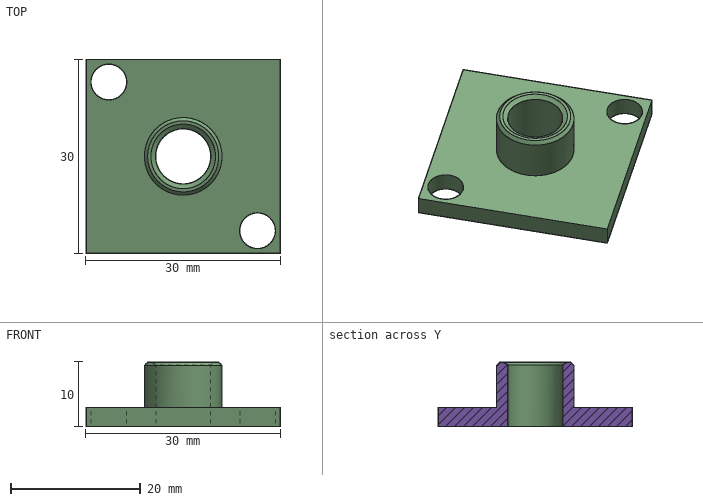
import cadquery as cq

plate_side = 30.0
plate_thickness = 3.0

total_height = 10.0
boss_diameter = 12.0
bore_diameter = 8.5

rim_chamfer = 0.5
bore_bevel_width = 0.75
bore_bevel_depth = 0.42

mount_hole_diameter = 5.5
mount_hole_offset = 11.5


def make_plate():
    """Square plate resting on Z = 0, centred on the Z axis."""
    return cq.Workplane("XY").box(
        plate_side, plate_side, plate_thickness, centered=(True, True, False)
    )


def make_boss():
    """Bored boss, beveled inside and outside at its rim, revolved about Z."""
    boss_radius = boss_diameter / 2
    bore_radius = bore_diameter / 2
    wall_section = [
        (bore_radius, 0),
        (boss_radius, 0),
        (boss_radius, total_height - rim_chamfer),
        (boss_radius - rim_chamfer, total_height),
        (bore_radius + bore_bevel_width, total_height),
        (bore_radius, total_height - bore_bevel_depth),
    ]
    return cq.Workplane("XZ").polyline(wall_section).close().revolve(360, (0, 0), (0, 1))


def make_plate_openings():
    """Cutter for the bore and the two mounting holes through the plate."""
    bore = cq.Workplane("XY").circle(bore_diameter / 2).extrude(plate_thickness)
    mount_holes = (
        cq.Workplane("XY")
        .pushPoints([
            (-mount_hole_offset, mount_hole_offset),
            (mount_hole_offset, -mount_hole_offset),
        ])
        .circle(mount_hole_diameter / 2)
        .extrude(plate_thickness)
    )
    return bore.union(mount_holes)


result = make_plate().cut(make_plate_openings()).union(make_boss())